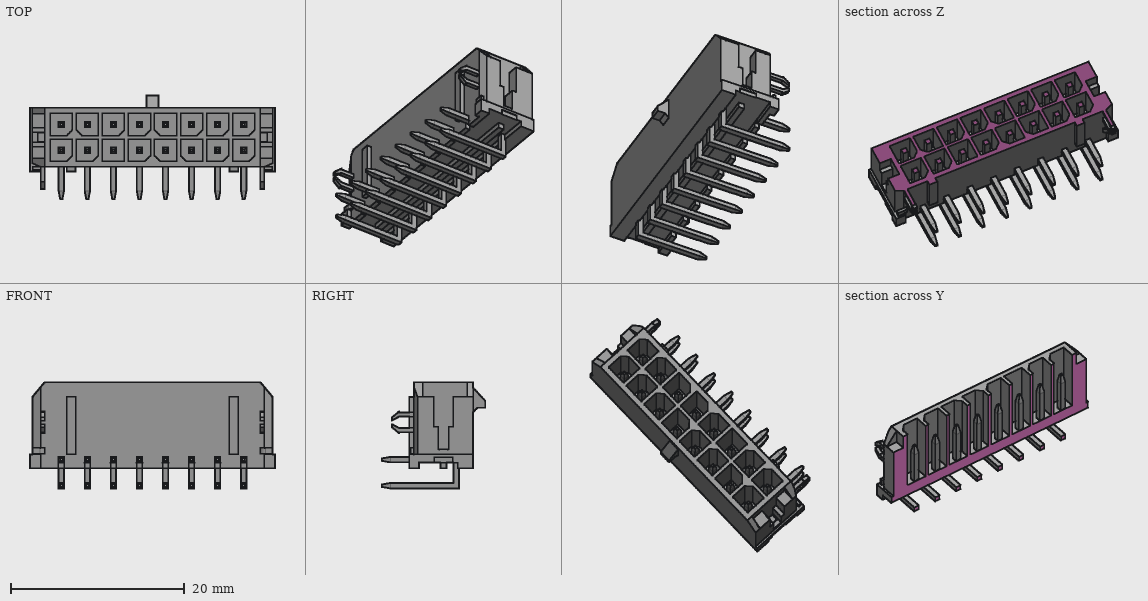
import cadquery as cq


overall_length = 28.2
housing_depth = 6.82
housing_height = 9.93
core_length = 24.82
mid_depth = housing_depth / 2

pins_per_row = 8
row_span = 20.98
pitch = row_span / (pins_per_row - 1)
pin_width = 0.65
pin_tip_width = 0.28
pin_taper_length = 1.0
pin_reach = 3.72
pin_top = 7.33
lowest_point = -2.3
row_front = 1.92
row_spacing = 2.95
row_rear = row_front + row_spacing
lower_tail_height = lowest_point + pin_width / 2
upper_tail_height = lower_tail_height + pitch

cavity_width = 2.55
cavity_corner_cut = 0.65
cavity_floor = 2.25
front_row_cut_sides = [1, 1, 0, 1, -1, -1, 1, 1]
rear_row_cut_sides = [1, -1, 1, 1, -1, 1, 1, 1]

tower_outer = 13.82
tower_shoulder = 8.23
tower_front_edge = 12.85
tower_front_chamfer = 0.42
ear_front_depth = 1.02
ear_rear_depth = 0.7
guide_wide = 2.23
guide_wide_floor = 4.77
guide_narrow = 1.18
guide_floor = 2.2
guide_recess_width = 1.02
guide_recess_length = 0.82
guide_recess_depth = 0.28

flange_height = 1.6
front_standoff = 0.54
channel_height = 0.68
channel_front = 0.6
channel_rear = 5.02
center_rib_width = 0.7
end_mark_width = 2.1
end_mark_height = 0.6
end_mark_depth = 0.08

rib_width = 1.05
rib_offset = 9.35
latch_width = 1.4
latch_reach = 1.4
latch_root_top = 9.28
latch_tip_top = 7.75
latch_tip_bottom = 6.97
latch_root_bottom = 6.45
latch_heel = 0.48

clip_thickness = 0.48
clip_inner = tower_front_edge - clip_thickness
clip_root = 0.55
prong_reach = 2.55
prong_bend = 1.7
prong_center_height = 5.3
prong_outer = 1.15
prong_inner = 0.65
prong_barb = 1.27
prong_tip_outer = 0.55
prong_tip_inner = 0.2
tab_bottom = 1.65
tab_height = 0.7
tab_reach = 0.35
tab_inner = 12.3
tab_end = 13.75
tab_bend_radius = 0.68


def block(x_range, y_range, z_range):
    """Box given by its two limits along each axis."""
    size = [limits[1] - limits[0] for limits in (x_range, y_range, z_range)]
    corner = (x_range[0], y_range[0], z_range[0])
    return cq.Workplane("XY").box(*size, centered=False).translate(corner)


def side_profile(points, x_start, width):
    """Outline of (y, z) points extruded along +X."""
    return cq.Workplane("YZ").workplane(offset=x_start).polyline(points).close().extrude(width)


def body_right():
    """Half of the housing body on +X, ending in a tower with two ears and a stepped guide slot."""
    core_end = core_length / 2
    body = (
        cq.Workplane("XZ")
        .polyline(
            [
                (0, 0),
                (tower_outer, 0),
                (tower_outer, tower_shoulder),
                (core_end, housing_height),
                (0, housing_height),
            ]
        )
        .close()
        .extrude(-housing_depth)
    )
    corner = (
        cq.Workplane("XY")
        .polyline([(tower_front_edge, 0), (tower_outer, 0), (tower_outer, tower_front_chamfer)])
        .close()
        .extrude(housing_height)
    )
    span = (core_end, tower_outer)

    def centred(width):
        return (mid_depth - width / 2, mid_depth + width / 2)

    between_ears = (ear_front_depth, housing_depth - ear_rear_depth)
    recess_span = (core_end, core_end + guide_recess_length)
    recess_floor = guide_floor - guide_recess_depth
    return (
        body.cut(corner)
        .cut(block(span, between_ears, (tower_shoulder, housing_height)))
        .cut(block(span, centred(guide_wide), (guide_wide_floor, housing_height)))
        .cut(block(span, centred(guide_narrow), (guide_floor, housing_height)))
        .cut(block(recess_span, centred(guide_recess_width), (recess_floor, guide_floor)))
    )


def base_right():
    """Half of the base on +X, ending in a flange with a shallow rectangular mark on its end face."""
    length_end = overall_length / 2
    base = block((0, length_end), (0, housing_depth), (0, flange_height))
    foot = block((tower_front_edge, length_end), (-front_standoff, 0), (0, flange_height))
    mark = block(
        (length_end - end_mark_depth, length_end),
        (mid_depth - end_mark_width / 2, mid_depth + end_mark_width / 2),
        (channel_height, channel_height + end_mark_height),
    )
    return base.union(foot).cut(mark)


def rib_right():
    """Upright stand-off rib on the front wall."""
    return block(
        (rib_offset - rib_width / 2, rib_offset + rib_width / 2),
        (-front_standoff, 0),
        (flange_height, tower_shoulder),
    )


def prong(direction):
    """Clip prong; direction is +1 for the upper one and -1 for the lower one."""
    outline = [
        (clip_root, prong_outer),
        (-prong_bend, prong_outer),
        (-prong_bend, prong_barb),
        (-prong_reach, prong_tip_outer),
        (-prong_reach, prong_tip_inner),
        (-prong_bend, prong_inner),
        (clip_root, prong_inner),
    ]
    points = [(y, prong_center_height + direction * z) for y, z in outline]
    return side_profile(points, clip_inner, clip_thickness)


def clip_tab():
    """Tab that leaves the front wall and bends outward in a quarter circle."""
    bend_x = tab_inner + tab_bend_radius
    inner_radius = tab_bend_radius - tab_reach
    bend_y = inner_radius
    centre = cq.Workplane("XY").workplane(offset=tab_bottom).center(bend_x, bend_y)
    quarter = block(
        (bend_x - tab_bend_radius, bend_x),
        (bend_y - tab_bend_radius, bend_y),
        (tab_bottom, tab_bottom + tab_height),
    )
    bend = centre.circle(tab_bend_radius).circle(inner_radius).extrude(tab_height).intersect(quarter)
    plate = block(
        (bend_x, tab_end),
        (-tab_reach, 0),
        (tab_bottom, tab_bottom + tab_height),
    )
    return bend.union(plate)


def clip_right():
    """Board-lock clip at the +X end: two prongs and the bent tab."""
    return prong(1).union(prong(-1)).union(clip_tab())


def latch():
    """Locking ramp in the middle of the rear wall."""
    tip = housing_depth + latch_reach
    points = [
        (housing_depth, latch_root_top),
        (tip, latch_tip_top),
        (tip, latch_tip_bottom),
        (housing_depth + latch_heel, latch_tip_bottom),
        (housing_depth, latch_root_bottom),
    ]
    return side_profile(points, -latch_width / 2, latch_width)


def cavity(x, y, cut_side):
    """Pocket around one contact, with at most one front corner cut off."""
    half = cavity_width / 2
    cut_start = half - cavity_corner_cut
    cut_corner = [(cut_start, -half), (half, -cut_start)] if cut_side else [(half, -half)]
    points = [(-half, -half)] + cut_corner + [(half, half), (-half, half)]
    mirror = -1 if cut_side < 0 else 1
    placed = [(x + mirror * px, y + py) for px, py in points]
    return (
        cq.Workplane("XY")
        .workplane(offset=cavity_floor)
        .polyline(placed)
        .close()
        .extrude(housing_height - cavity_floor)
    )


def tapered_bar(length):
    """Square bar along +Z from the origin, tapered at its far end."""
    straight = length - pin_taper_length
    bar = cq.Workplane("XY").rect(pin_width, pin_width).extrude(straight)
    tip = (
        cq.Workplane("XY")
        .workplane(offset=straight)
        .rect(pin_width, pin_width)
        .workplane(offset=pin_taper_length)
        .rect(pin_tip_width, pin_tip_width)
        .loft(ruled=True)
    )
    return bar.union(tip)


def pin(x, y, tail_height):
    """L-shaped contact: upright leg in the cavity and a tail reaching out to the front."""
    elbow_bottom = tail_height - pin_width / 2
    leg = tapered_bar(pin_top - elbow_bottom).translate((x, y, elbow_bottom))
    elbow_rear = y + pin_width / 2
    tail = tapered_bar(elbow_rear + pin_reach).rotate((0, 0, 0), (1, 0, 0), 90)
    return leg.union(tail.translate((x, elbow_rear, tail_height)))


right_end = body_right().union(base_right()).union(rib_right())
housing = right_end.union(right_end.mirror("YZ")).union(latch())

half_length = overall_length / 2
housing = housing.cut(block((-half_length, half_length), (channel_front, channel_rear), (0, channel_height)))
center_rib = block(
    (-core_length / 2, core_length / 2),
    (mid_depth - center_rib_width / 2, mid_depth + center_rib_width / 2),
    (0, channel_height),
)
housing = housing.union(center_rib)

pin_positions = [(i - (pins_per_row - 1) / 2) * pitch for i in range(pins_per_row)]

for x, front_side, rear_side in zip(pin_positions, front_row_cut_sides, rear_row_cut_sides):
    housing = housing.cut(cavity(x, row_front, front_side))
    housing = housing.cut(cavity(x, row_rear, rear_side))
    slot_span = (x - pin_width / 2, x + pin_width / 2)
    housing = housing.cut(block(slot_span, (0, channel_front), (0, upper_tail_height)))

result = housing.union(clip_right()).union(clip_right().mirror("YZ"))
for x in pin_positions:
    result = result.union(pin(x, row_front, upper_tail_height))
    result = result.union(pin(x, row_rear, lower_tail_height))